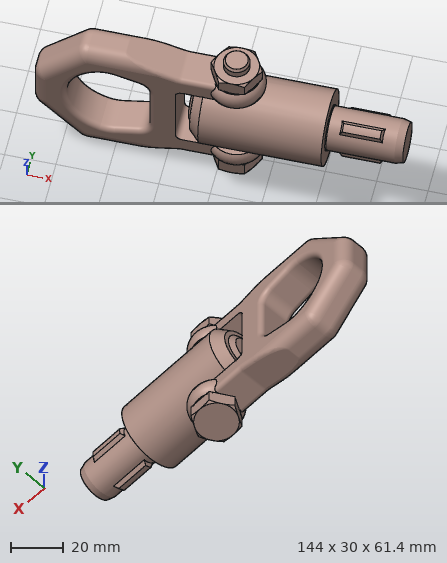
import cadquery as cq
import math


BOLT_RADIUS = 5.0
BOLT_TOP = 32.4
BOLT_TIP_CHAMFER_LENGTH = 1.2
BOLT_TIP_CHAMFER_DEPTH = 0.7
HEX_ACROSS_FLATS = 17.3
NUT_HEIGHT = 6.0
HEAD_HEIGHT = 6.5
HEX_CHAMFER_ANGLE = 30

BARREL_RADIUS = 15.0
BARREL_START = -11.7
BARREL_END = 36.3
BARREL_CONE_LENGTH = 4.2
BARREL_FACE_RADIUS = 11.0
NOSE_BASE_RADIUS = 9.0
NOSE_TIP_RADIUS = 6.5
NOSE_LENGTH = 1.5
COLLAR_RADIUS = 9.0
COLLAR_LENGTH = 0.5
SHAFT_RADIUS = 8.6
SHAFT_END = 66.4
SHAFT_TIP_LENGTH = 3.0
SHAFT_TIP_ANGLE = 15

KEY_COUNT = 3
KEY_FIRST_ANGLE = 30
KEY_CENTRE_X = 49.8
KEY_LENGTH = 17.0
KEY_WIDTH = 5.5
KEY_FOOT = 8.0
KEY_TOP_RADIUS = 10.1
KEY_TAPER = 30

YOKE_LEFT = -77.6
YOKE_THICKNESS = 15.4
YOKE_HALF_HEIGHT = 28.0
YOKE_NOSE_HALF_HEIGHT = 9.0
YOKE_CORNER_RADIUS = 5.5
YOKE_EDGE_FILLET = 5.3
SLOPE_ANGLE = 14
SLOPE_FOOT_X = -20.3
SLOPE_BLEND_RADIUS = 4.3
ARM_TOP = 22.5
ARM_EDGE_FILLET = 1.9
GAP_LEFT = -22.0
GAP_CORNER_RADIUS = 2.5

EYE_RADIUS = 17.7
EYE_CENTRE_X = -47.0
EYE_RIGHT = -32.4
EYE_SHOULDER_LEAN = 2.5
EYE_SHOULDER_RADIUS = 11.5
EYE_CORNER_RADIUS = 5.3
EYE_EDGE_FILLET = 2.2

BOSS_RADIUS = 11.2
BOSS_BULGE_RADIUS = 5.2
BOSS_BULGE_Z = 18.3

CUT_MARGIN = 1.5
SELECTION_MARGIN = 1.5

HALF_THICKNESS = YOKE_THICKNESS / 2
SLOPE = math.tan(math.radians(SLOPE_ANGLE))
SLOPE_TOP_X = SLOPE_FOOT_X - (YOKE_HALF_HEIGHT - ARM_TOP) / SLOPE
HEX_CORNER_RADIUS = HEX_ACROSS_FLATS / 2 / math.cos(math.radians(30))


def upright_cylinder(radius, bottom, top):
    return cq.Workplane("XY").workplane(offset=bottom).circle(radius).extrude(top - bottom)


def slab(outline):
    """Extrude an outline drawn in the XZ plane over the full yoke thickness."""
    return outline.extrude(HALF_THICKNESS, both=True)



def yoke_blank():
    """Link outline with rounded corners and outer edges."""
    shoulder_x = YOKE_LEFT + YOKE_HALF_HEIGHT - YOKE_NOSE_HALF_HEIGHT
    outline = cq.Workplane("XZ").polyline([
        (0, YOKE_HALF_HEIGHT),
        (shoulder_x, YOKE_HALF_HEIGHT),
        (YOKE_LEFT, YOKE_NOSE_HALF_HEIGHT),
        (YOKE_LEFT, -YOKE_NOSE_HALF_HEIGHT),
        (shoulder_x, -YOKE_HALF_HEIGHT),
        (0, -YOKE_HALF_HEIGHT),
    ]).close()
    body = slab(outline).edges("|Y and (not >X)").fillet(YOKE_CORNER_RADIUS)
    return body.faces("|Y").edges("not >X").fillet(YOKE_EDGE_FILLET)


def arm_relief():
    """Material above the upper arm: a slope down from the link, then a flat."""
    outline = cq.Workplane("XZ").polyline([
        (SLOPE_TOP_X - CUT_MARGIN / SLOPE, YOKE_HALF_HEIGHT + CUT_MARGIN),
        (SLOPE_FOOT_X, ARM_TOP),
        (CUT_MARGIN, ARM_TOP),
        (CUT_MARGIN, YOKE_HALF_HEIGHT + CUT_MARGIN),
    ]).close()
    foot = cq.selectors.NearestToPointSelector((SLOPE_FOOT_X, 0, ARM_TOP))
    return slab(outline).edges(foot).fillet(SLOPE_BLEND_RADIUS)


def eye_cutter():
    """Round-nosed opening with sloping sides parallel to the yoke slopes and a straight end."""
    lean = math.radians(EYE_SHOULDER_LEAN)
    shoulder_x = EYE_CENTRE_X - EYE_RADIUS * math.sin(lean)
    shoulder_z = EYE_RADIUS * math.cos(lean)
    corner_z = shoulder_z - (EYE_RIGHT - shoulder_x) * SLOPE
    outline = (
        cq.Workplane("XZ")
        .moveTo(shoulder_x, shoulder_z)
        .threePointArc((EYE_CENTRE_X - EYE_RADIUS, 0), (shoulder_x, -shoulder_z))
        .lineTo(EYE_RIGHT, -corner_z)
        .lineTo(EYE_RIGHT, corner_z)
        .close()
    )
    cutter = slab(outline)
    cutter = cutter.edges("|Y and >X").fillet(EYE_CORNER_RADIUS)
    for side in (1, -1):
        shoulder = cq.selectors.NearestToPointSelector((shoulder_x, 0, side * shoulder_z))
        cutter = cutter.edges(shoulder).fillet(EYE_SHOULDER_RADIUS)
    return cutter


def eye_rim():
    """Selector for the eye's edges on both side faces of the yoke."""
    half_box = EYE_RADIUS + SELECTION_MARGIN
    left = EYE_CENTRE_X - half_box
    right = EYE_RIGHT + SELECTION_MARGIN
    boxes = [
        cq.selectors.BoxSelector(
            (left, side * HALF_THICKNESS - SELECTION_MARGIN, -half_box),
            (right, side * HALF_THICKNESS + SELECTION_MARGIN, half_box),
        )
        for side in (1, -1)
    ]
    return boxes[0] + boxes[1]


def boss():
    """Barrel-shaped ring around the bolt on the upper arm."""
    def radius_at(z):
        bulge_centre = BOSS_RADIUS - BOSS_BULGE_RADIUS
        return bulge_centre + math.sqrt(BOSS_BULGE_RADIUS ** 2 - (z - BOSS_BULGE_Z) ** 2)

    return (
        cq.Workplane("XZ")
        .moveTo(0, BARREL_RADIUS)
        .lineTo(radius_at(BARREL_RADIUS), BARREL_RADIUS)
        .threePointArc((BOSS_RADIUS, BOSS_BULGE_Z), (radius_at(ARM_TOP), ARM_TOP))
        .lineTo(0, ARM_TOP)
        .close()
        .revolve(360, (0, 0), (0, 1))
    )


def make_yoke():
    body = yoke_blank()
    relief = arm_relief()
    body = body.cut(relief).cut(relief.mirror("XY"))
    for arm_z in (ARM_TOP, -ARM_TOP):
        arm_edges = [
            cq.selectors.NearestToPointSelector((SLOPE_FOOT_X / 2, side_y, arm_z))
            for side_y in (HALF_THICKNESS, -HALF_THICKNESS)
        ]
        body = body.edges(arm_edges[0] + arm_edges[1]).fillet(ARM_EDGE_FILLET)

    gap = (
        cq.Workplane("XY")
        .box(-GAP_LEFT, YOKE_THICKNESS, 2 * BARREL_RADIUS)
        .translate((GAP_LEFT / 2, 0, 0))
        .edges("|Y and <X")
        .fillet(GAP_CORNER_RADIUS)
    )
    body = body.cut(gap).cut(eye_cutter())
    body = body.edges(eye_rim()).fillet(EYE_EDGE_FILLET)

    upper_boss = boss()
    body = body.union(upper_boss).union(upper_boss.mirror("XY"))
    return body.cut(upright_cylinder(BOLT_RADIUS, -ARM_TOP, ARM_TOP))



def key(angle):
    """Tapered key whose top follows a cylinder around the shaft."""
    rise = KEY_TOP_RADIUS - KEY_FOOT
    crown = cq.Workplane("YZ").circle(KEY_TOP_RADIUS).extrude(SHAFT_END)
    return (
        cq.Workplane("XY")
        .workplane(offset=KEY_FOOT)
        .center(KEY_CENTRE_X, 0)
        .rect(KEY_LENGTH, KEY_WIDTH)
        .extrude(rise, taper=KEY_TAPER)
        .intersect(crown)
        .rotate((0, 0, 0), (1, 0, 0), angle)
    )


def make_barrel():
    nose_tip_x = BARREL_START - NOSE_LENGTH - BARREL_CONE_LENGTH
    face_x = BARREL_START - BARREL_CONE_LENGTH
    tip_radius = SHAFT_RADIUS - SHAFT_TIP_LENGTH * math.tan(math.radians(SHAFT_TIP_ANGLE))
    body = (
        cq.Workplane("XZ")
        .polyline([
            (nose_tip_x, 0),
            (nose_tip_x, NOSE_TIP_RADIUS),
            (face_x, NOSE_BASE_RADIUS),
            (face_x, BARREL_FACE_RADIUS),
            (BARREL_START, BARREL_RADIUS),
            (BARREL_END, BARREL_RADIUS),
            (BARREL_END, COLLAR_RADIUS),
            (BARREL_END + COLLAR_LENGTH, COLLAR_RADIUS),
            (BARREL_END + COLLAR_LENGTH, SHAFT_RADIUS),
            (SHAFT_END - SHAFT_TIP_LENGTH, SHAFT_RADIUS),
            (SHAFT_END, tip_radius),
            (SHAFT_END, 0),
        ])
        .close()
        .revolve(360, (0, 0), (1, 0))
    )
    for index in range(KEY_COUNT):
        body = body.union(key(KEY_FIRST_ANGLE + index * 360 / KEY_COUNT))
    return body.cut(upright_cylinder(BOLT_RADIUS, -BARREL_RADIUS, BARREL_RADIUS))



def hexagon(bottom, top):
    """Hexagonal prism with two corners on the X axis."""
    return cq.Workplane("XY").workplane(offset=bottom).polygon(6, 2 * HEX_CORNER_RADIUS).extrude(top - bottom)


def hex_envelope(bottom, top):
    """Cylinder through the hexagon corners, bevelled at its top down to the flats."""
    bevel_depth = HEX_CORNER_RADIUS - HEX_ACROSS_FLATS / 2
    bevel_height = bevel_depth * math.tan(math.radians(HEX_CHAMFER_ANGLE))
    return upright_cylinder(HEX_CORNER_RADIUS, bottom, top).faces(">Z").chamfer(bevel_height, bevel_depth)


def make_nut():
    top = ARM_TOP + NUT_HEIGHT
    middle = ARM_TOP + NUT_HEIGHT / 2
    envelope = hex_envelope(ARM_TOP, top)
    flipped = envelope.mirror("XY", (0, 0, middle))
    body = hexagon(ARM_TOP, top).intersect(envelope).intersect(flipped)
    return body.cut(upright_cylinder(BOLT_RADIUS, ARM_TOP, top))


def make_bolt():
    head_bottom = ARM_TOP + HEAD_HEIGHT
    head = hexagon(ARM_TOP, head_bottom).intersect(hex_envelope(ARM_TOP, head_bottom)).mirror("XY")
    shank = upright_cylinder(BOLT_RADIUS, -ARM_TOP, BOLT_TOP)
    shank = shank.faces(">Z").chamfer(BOLT_TIP_CHAMFER_LENGTH, BOLT_TIP_CHAMFER_DEPTH)
    return head.union(shank)


yoke = make_yoke()
barrel = make_barrel()
bolt = make_bolt()
nut = make_nut()

result = cq.Compound.makeCompound([yoke.val(), barrel.val(), bolt.val(), nut.val()])